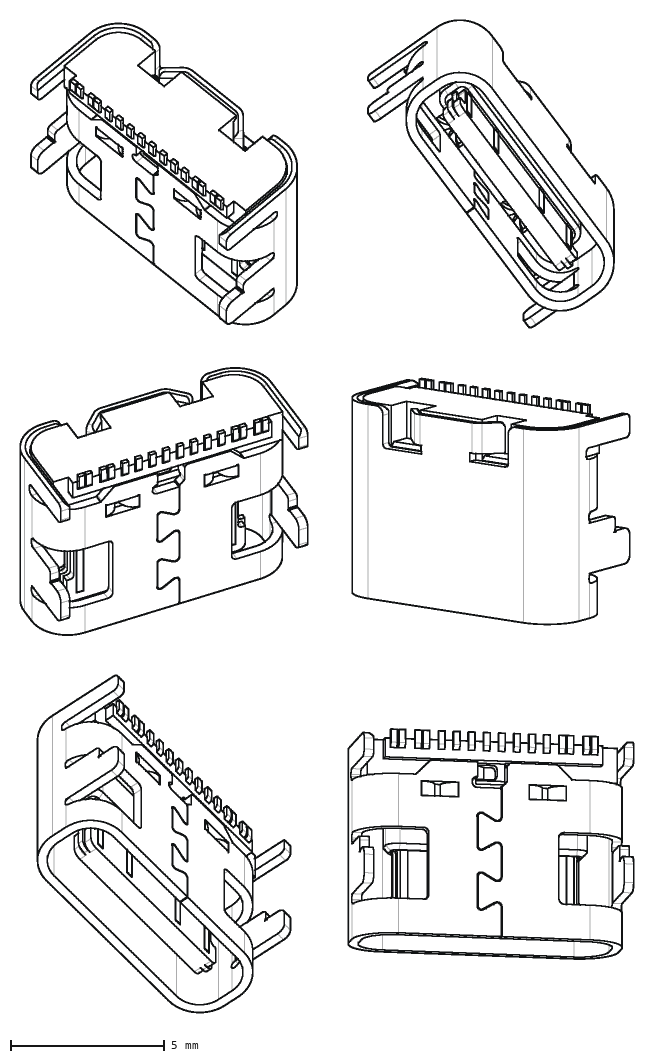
import cadquery as cq
import math

WIDTH = 8.94
DEPTH = 3.16
HEIGHT = 6.47
WALL = 0.32
CORNER_RADIUS = 1.3
RIM_CHAMFER = 0.15
TAB_REACH = 4.06
PIN_TOP = 6.75
OVERCUT = 0.45

HALF_WIDTH = WIDTH / 2
BACK = DEPTH / 2
FRONT = -DEPTH / 2
INNER_HALF_WIDTH = HALF_WIDTH - WALL
INNER_BACK = BACK - WALL
INNER_FRONT = FRONT + WALL
TAB_TIP = BACK - TAB_REACH

SHOULDER = 5.3
SLOT_END = BACK - 1.84
UPPER_SLOT_END = BACK - 1.69
SLOT_RUN_OUT = BACK - 2.01
SLOT_INNER_REACH = 0.09
SLOT_RADIUS = 0.16
UPPER_TAB_BOTTOM = 5.69
UPPER_TAB_RADIUS = 0.21
LOWER_TAB_BOTTOM = 1.49
LOWER_TAB_TOP = 3.17
LOWER_TAB_STEP = 2.68
LOWER_TAB_RADIUS = 0.29
STEP_FRONT = BACK - 3.27
STEP_RADIUS = 0.14
STEP_RELIEF = 0.045
WINDOW_BOTTOM = 1.15
WINDOW_TOP = 3.54
WINDOW_INNER_X = 2.155
WINDOW_RADIUS = 0.18

PLATE_TOP = 5.78
PLATE_TOP_HALF_WIDTH = 2.11
PLATE_FOOT_HALF_WIDTH = 2.59
PLATE_CORNER_RADIUS = 0.13
SEAM_RIGHT = 0.24
SEAM_LEFT = -0.55
SEAM_GAP = 0.03
SEAM_RADIUS = 0.13
KEY_PITCH = 1.99
KEY_COUNT = 2
KEY_TOP = 4.21
KEY_LENGTH = 1.46
KEY_FLARE = 0.46
NOTCH_LEFT = -0.54
NOTCH_RIGHT = 0.45
NOTCH_BOTTOM = 4.935
NOTCH_HOOK_LEFT = -0.715
NOTCH_HOOK_RADIUS = 0.17
NOTCH_SLANT_TOP = 5.17
NOTCH_SLANT_BOTTOM = 4.98
NOTCH_SLANT_RADIUS = 0.11
NOTCH_LIP = 0.09

LATCH_INNER_X = 1.17
LATCH_OUTER_X = 2.4
LATCH_BOTTOM = 4.6
LATCH_TOP = 5.09
LATCH_DEPTH = 0.5
LATCH_END_DEPTH = 0.04
LATCH_FLAT = 0.18

FLAP_HALF_WIDTH = 1.25
FLAP_GAP_OUTER_X = 2.56
FLAP_GAP_FLOOR = 5.1
FLAP_GAP_TOP_RADIUS = 0.28
FLAP_GAP_FLOOR_RADIUS = 0.14
FLAP_TOP = 6.4
FLAP_BEND_RADIUS = 0.13
WING_LENGTH = 0.96
WING_ANGLE = 45.0
WING_BOTTOM = 5.38
WING_RADIUS = 0.18

HOUSING_BOTTOM = LATCH_BOTTOM
HOUSING_BACK_RADIUS = 1.07
SHELF_HALF_WIDTH = 3.6
SHELF_BOTTOM = 5.84
POCKET_OUTER_X = 2.45
POCKET_FRONT = BACK - 1.135
POCKET_FLOOR = 5.25
POCKET_CHAMFER = 0.13
RECESS_BOTTOM = 5.11
RECESS_DEPTH = 0.14
CAVITY_RAMP_END = -0.18
CAVITY_RIGHT = 0.19
CAVITY_TOP = 5.775
CAVITY_DEPTH = 0.36
CAVITY_RADIUS = 0.13

TONGUE_HALF_WIDTH = 3.34
TONGUE_HALF_THICKNESS = 0.35
TONGUE_TIP = 0.36
TONGUE_TIP_RADIUS = 0.27
BASE_HALF_THICKNESS = 0.61
BASE_RADIUS = 0.4
BASE_BOTTOM = 3.0
BASE_CHAMFER = 0.18
LATCH_NOTCH_X = 3.08
LATCH_NOTCH_BOTTOM = 1.42
LATCH_NOTCH_RADIUS = 0.13
PLATE_HALF_THICKNESS = 0.09
PLATE_REVEAL = 0.11

CONTACT_PITCH = 0.5
CONTACT_PITCHES = (2.5, 5.5)
CONTACT_WIDTH = 0.25
CONTACT_BOTTOM = 0.68
CONTACT_PROUD = 0.02
PIN_WIDTH = 0.215
PIN_THICKNESS = 0.13
PIN_ROOT_DEPTH = 0.27
PIN_BEND_RADIUS = 0.17
PIN_BOTTOM = 6.15
PIN_FRONT = BACK - 3.27
PIN_OFFSETS = (0.25, 0.75, 1.25, 1.74, 2.25, 2.52, 3.06, 3.33)


def box(x_range, y_range, z_range):
    """Box spanning the given ranges, each a pair in either order."""
    spans = [sorted(pair) for pair in (x_range, y_range, z_range)]
    size = [high - low for low, high in spans]
    corner = tuple(low for low, high in spans)
    return cq.Workplane("XY").box(*size, centered=False).translate(corner)


def rounded_outline(plane, corners):
    """Closed outline on a plane from (u, v, radius) corners, rounded where the radius is not zero."""
    path = None
    for index, (u, v, radius) in enumerate(corners):
        corner = cq.Vector(u, v)
        before = (cq.Vector(*corners[index - 1][:2]) - corner).normalized()
        after = (cq.Vector(*corners[(index + 1) % len(corners)][:2]) - corner).normalized()
        half_angle = before.getAngle(after) / 2
        trim = radius / math.tan(half_angle)
        start = corner + before * trim
        path = path.lineTo(start.x, start.y) if path else cq.Workplane(plane).moveTo(start.x, start.y)
        if radius:
            bulge = radius / math.sin(half_angle) - radius
            middle = corner + (before + after).normalized() * bulge
            end = corner + after * trim
            path = path.threePointArc((middle.x, middle.y), (end.x, end.y))
    return path.close()


def both_sides(right_half):
    """The given +X feature together with its mirror image."""
    return right_half.union(right_half.mirror("YZ"))


def front_outline(corners):
    """Outline of (x, z, radius) corners on the inside of the front wall, facing outward."""
    return rounded_outline(cq.Plane((0, INNER_FRONT, 0), (1, 0, 0), (0, -1, 0)), corners)


def front_cutter(corners):
    """Tool through the front wall with an (x, z, radius) outline."""
    return front_outline(corners).extrude(WALL + OVERCUT)


def side_plate(corners, inner_x=INNER_HALF_WIDTH, thickness=WALL):
    """Flat plate normal to X with a (y, z, radius) outline."""
    return rounded_outline("YZ", corners).extrude(thickness).translate((inner_x, 0, 0))


def shell_tube():
    """Straight tube of sheet metal with rounded corners."""
    outer = cq.Workplane("XY").rect(WIDTH, DEPTH).extrude(HEIGHT).edges("|Z").fillet(CORNER_RADIUS)
    inner = cq.Workplane("XY").rect(2 * INNER_HALF_WIDTH, DEPTH - 2 * WALL).extrude(HEIGHT)
    return outer.cut(inner.edges("|Z").fillet(CORNER_RADIUS - WALL))


def side_slot(bottom, top, end):
    """Round-ended slot in the side wall, open toward the front."""
    outside = SLOT_RUN_OUT - SLOT_RADIUS
    corners = [(outside, bottom, 0), (outside, top, 0), (end, top, SLOT_RADIUS), (end, bottom, SLOT_RADIUS)]
    return side_plate(corners, INNER_HALF_WIDTH - SLOT_INNER_REACH, WALL + OVERCUT)


def corner_clearances():
    """Metal removed from the front corners: windows, slots beside the tabs and the open top."""
    beyond_x = HALF_WIDTH + OVERCUT
    beyond_y = FRONT - OVERCUT
    window = box((WINDOW_INNER_X, beyond_x), (beyond_y, SLOT_RUN_OUT), (WINDOW_BOTTOM, WINDOW_TOP))
    window = window.edges("|Y and <X").fillet(WINDOW_RADIUS)
    open_top = box((PLATE_FOOT_HALF_WIDTH, beyond_x), (beyond_y, SLOT_RUN_OUT), (SHOULDER, HEIGHT))
    slots = side_slot(SHOULDER, UPPER_TAB_BOTTOM, UPPER_SLOT_END)
    slots = slots.union(side_slot(LOWER_TAB_TOP, WINDOW_TOP, SLOT_END))
    slots = slots.union(side_slot(WINDOW_BOTTOM, LOWER_TAB_BOTTOM, SLOT_END))
    return both_sides(window.union(open_top).union(slots))


def plate_top_cutter():
    """Everything above the sloped upper edge of the front plate."""
    foot, top = PLATE_FOOT_HALF_WIDTH, PLATE_TOP_HALF_WIDTH
    above = HEIGHT + OVERCUT
    radius = PLATE_CORNER_RADIUS
    return front_cutter([
        (-foot - OVERCUT, SHOULDER, 0), (-foot, SHOULDER, radius), (-top, PLATE_TOP, radius),
        (top, PLATE_TOP, radius), (foot, SHOULDER, radius), (foot + OVERCUT, SHOULDER, 0),
        (foot + OVERCUT, above, 0), (-foot - OVERCUT, above, 0),
    ])


def notch_cutter():
    """Hooked notch at the upper end of the seam."""
    hook_top = SHOULDER
    above = PLATE_TOP + OVERCUT
    return front_cutter([
        (NOTCH_LEFT, above, 0), (NOTCH_LEFT, hook_top, 0),
        (NOTCH_HOOK_LEFT, hook_top, NOTCH_HOOK_RADIUS), (NOTCH_HOOK_LEFT, NOTCH_BOTTOM, NOTCH_HOOK_RADIUS),
        (SEAM_RIGHT, NOTCH_BOTTOM, 0), (SEAM_RIGHT, NOTCH_SLANT_BOTTOM, 0),
        (NOTCH_RIGHT, NOTCH_SLANT_TOP, NOTCH_SLANT_RADIUS), (NOTCH_RIGHT, PLATE_TOP - NOTCH_LIP, 0),
        (NOTCH_RIGHT + NOTCH_LIP, PLATE_TOP, 0), (NOTCH_RIGHT + NOTCH_LIP, above, 0),
    ])


def seam_cutter():
    """Hairline seam where the rolled shell meets itself, with dovetail keys."""
    path = [(SEAM_RIGHT, PLATE_TOP, 0)]
    for key in range(KEY_COUNT):
        top = KEY_TOP - key * KEY_PITCH
        bottom = top - KEY_LENGTH
        path += [
            (SEAM_RIGHT, top - KEY_FLARE, SEAM_RADIUS), (SEAM_LEFT, top, SEAM_RADIUS),
            (SEAM_LEFT, bottom, SEAM_RADIUS), (SEAM_RIGHT, bottom + KEY_FLARE, SEAM_RADIUS),
        ]
    path.append((SEAM_RIGHT, -OVERCUT, 0))
    far_left = SEAM_LEFT - OVERCUT
    left_side = path + [(far_left, -OVERCUT, 0), (far_left, PLATE_TOP, 0)]
    border = front_outline(left_side).offset2D(SEAM_GAP).extrude(WALL + OVERCUT).cut(front_cutter(left_side))
    along_path = box(
        (SEAM_LEFT - SEAM_GAP, SEAM_RIGHT + SEAM_GAP), (INNER_FRONT, FRONT), (0, NOTCH_BOTTOM + SEAM_GAP),
    )
    return border.intersect(along_path)


def board_tabs():
    """Flat tabs continuing the side walls straight forward past the shell front."""
    root = 0.0
    relief_bottom = LOWER_TAB_STEP - STEP_RELIEF
    upper = side_plate([
        (root, UPPER_TAB_BOTTOM, 0), (TAB_TIP, UPPER_TAB_BOTTOM, UPPER_TAB_RADIUS),
        (TAB_TIP, HEIGHT, UPPER_TAB_RADIUS), (root, HEIGHT, 0),
    ])
    lower = side_plate([
        (root, LOWER_TAB_BOTTOM, 0), (TAB_TIP, LOWER_TAB_BOTTOM, LOWER_TAB_RADIUS),
        (TAB_TIP, LOWER_TAB_STEP, LOWER_TAB_RADIUS), (STEP_FRONT - STEP_RELIEF, LOWER_TAB_STEP, 0),
        (STEP_FRONT - STEP_RELIEF, relief_bottom, 0), (STEP_FRONT + STEP_RELIEF, relief_bottom, 0),
        (STEP_FRONT, LOWER_TAB_STEP + STEP_RELIEF, 0),
        (STEP_FRONT, LOWER_TAB_TOP, STEP_RADIUS), (root, LOWER_TAB_TOP, 0),
    ])
    return both_sides(upper.union(lower))


def rim_chamfer_cutter():
    """Widening mouth that bevels the inner top edge of the back, sides and upper tabs."""
    length = INNER_BACK - TAB_TIP + OVERCUT
    mouth = cq.Workplane("XY", origin=(0, INNER_BACK - length / 2, HEIGHT - RIM_CHAMFER))
    mouth = mouth.rect(2 * INNER_HALF_WIDTH, length).extrude(RIM_CHAMFER)
    mouth = mouth.edges("|Z and >Y").fillet(CORNER_RADIUS - WALL)
    return mouth.faces("<Z").wires().toPending().workplane(invert=True).extrude(RIM_CHAMFER, taper=-45)


def flap_gap():
    """Opening in the back wall around the upper part of the flap, rounded into the rim and the floor."""
    plane = cq.Plane((0, BACK + OVERCUT, 0), (1, 0, 0), (0, -1, 0))
    outer, rim_radius, floor_radius = FLAP_GAP_OUTER_X, FLAP_GAP_TOP_RADIUS, FLAP_GAP_FLOOR_RADIUS
    rim_end = outer + 2 * rim_radius
    outline = rounded_outline(plane, [
        (0, FLAP_GAP_FLOOR, 0), (outer, FLAP_GAP_FLOOR, floor_radius), (outer, HEIGHT, rim_radius),
        (rim_end, HEIGHT, 0), (rim_end, HEIGHT + OVERCUT, 0), (0, HEIGHT + OVERCUT, 0),
    ])
    return both_sides(outline.extrude(WALL + OVERCUT))


def back_flap():
    """Tongue of the back wall with both ends bent inward and its inner top edge bevelled."""
    angle = math.radians(WING_ANGLE)
    run, fall = math.cos(angle), math.sin(angle)
    inner_bend_x = FLAP_HALF_WIDTH - WALL * math.tan(angle / 2)
    outer_end = (FLAP_HALF_WIDTH + WING_LENGTH * run, BACK - WING_LENGTH * fall)
    inner_end = (outer_end[0] - WALL * fall, outer_end[1] - WALL * run)
    plate = rounded_outline("XY", [
        (0, BACK, 0), (FLAP_HALF_WIDTH, BACK, FLAP_BEND_RADIUS + WALL), (*outer_end, 0),
        (*inner_end, 0), (inner_bend_x, INNER_BACK, FLAP_BEND_RADIUS), (0, INNER_BACK, 0),
    ])
    wings = plate.extrude(FLAP_TOP - WING_BOTTOM).translate((0, 0, WING_BOTTOM))
    wings = wings.faces(f">({run},{-fall},0)").edges(">Z").fillet(WING_RADIUS)

    mouth_reach = inner_end[0] + WALL
    mouth_low = INNER_BACK - (mouth_reach - inner_bend_x) * fall / run
    mouth = rounded_outline("XY", [
        (-inner_bend_x, INNER_BACK, FLAP_BEND_RADIUS), (inner_bend_x, INNER_BACK, FLAP_BEND_RADIUS),
        (mouth_reach, mouth_low, 0), (-mouth_reach, mouth_low, 0),
    ])
    bevel = mouth.extrude(RIM_CHAMFER, taper=-45).translate((0, 0, FLAP_TOP - RIM_CHAMFER))
    neck_half_width = inner_bend_x - FLAP_BEND_RADIUS
    neck = box((-neck_half_width, neck_half_width), (INNER_BACK, BACK), (FLAP_GAP_FLOOR, WING_BOTTOM))
    return both_sides(wings).union(neck).cut(bevel)


def latch_windows():
    """Space for the latch strips through the front wall and into the housing."""
    sides = (LATCH_INNER_X, LATCH_OUTER_X)
    return both_sides(box(sides, (FRONT, INNER_FRONT + LATCH_DEPTH), (LATCH_BOTTOM, LATCH_TOP)))


def latch_strips():
    """Strips of the front wall pressed inward, each side flaring away from a narrow flat."""
    middle = (LATCH_INNER_X + LATCH_OUTER_X) / 2
    run = (LATCH_OUTER_X - LATCH_INNER_X - LATCH_FLAT) / 2
    end_y = FRONT + LATCH_END_DEPTH
    drop = LATCH_DEPTH - LATCH_END_DEPTH
    flat_y = end_y + drop
    left, right = middle - LATCH_FLAT / 2, middle + LATCH_FLAT / 2
    radius = (run ** 2 + drop ** 2) / (2 * drop)
    strip = (
        cq.Workplane("XY", origin=(0, 0, LATCH_BOTTOM)).moveTo(LATCH_INNER_X, end_y)
        .radiusArc((left, flat_y), -radius).lineTo(right, flat_y)
        .radiusArc((LATCH_OUTER_X, end_y), -radius).lineTo(LATCH_OUTER_X, end_y + WALL)
        .radiusArc((right, flat_y + WALL), radius).lineTo(left, flat_y + WALL)
        .radiusArc((LATCH_INNER_X, end_y + WALL), radius).close()
        .extrude(LATCH_TOP - LATCH_BOTTOM)
    )
    return both_sides(strip)


def make_shell():
    shell = shell_tube().cut(corner_clearances()).cut(plate_top_cutter())
    shell = shell.cut(notch_cutter()).cut(seam_cutter()).cut(flap_gap()).cut(latch_windows())
    shell = shell.union(board_tabs()).cut(rim_chamfer_cutter())
    return shell.union(back_flap()).union(latch_strips())


def housing_block():
    """Block filling the rear of the shell, square in front above the shoulder, with a forward shelf."""
    depth = INNER_BACK - INNER_FRONT
    block = cq.Workplane("XY", origin=(0, 0, HOUSING_BOTTOM)).rect(2 * INNER_HALF_WIDTH, depth)
    block = block.extrude(HEIGHT - HOUSING_BOTTOM)
    block = block.edges("|Z and >Y").fillet(HOUSING_BACK_RADIUS)
    lower = box(
        (-INNER_HALF_WIDTH, INNER_HALF_WIDTH), (INNER_FRONT, INNER_BACK), (HOUSING_BOTTOM, SHOULDER),
    )
    rounded = lower.edges("|Z and <Y").fillet(CORNER_RADIUS - WALL)
    block = block.cut(lower.cut(rounded))
    shelf = box((-SHELF_HALF_WIDTH, SHELF_HALF_WIDTH), (FRONT, INNER_FRONT), (SHELF_BOTTOM, HEIGHT))
    return block.union(shelf)


def wing_pockets():
    """Pockets for the flap wings; the floor slopes down along its back edge."""
    pocket = box((FLAP_HALF_WIDTH, POCKET_OUTER_X), (POCKET_FRONT, INNER_BACK), (POCKET_FLOOR, HEIGHT))
    slope = cq.Workplane("YZ").polyline([
        (INNER_BACK, POCKET_FLOOR), (INNER_BACK - POCKET_CHAMFER, POCKET_FLOOR),
        (INNER_BACK, POCKET_FLOOR - POCKET_CHAMFER),
    ]).close().extrude(POCKET_OUTER_X - FLAP_HALF_WIDTH).translate((FLAP_HALF_WIDTH, 0, 0))
    return both_sides(pocket.union(slope))


def front_recess():
    """Recess behind the notch with a sloped sill and a deeper cavity ramped on its left."""
    recess_floor = INNER_FRONT + RECESS_DEPTH
    recess = cq.Workplane("YZ").polyline([
        (INNER_FRONT, RECESS_BOTTOM), (recess_floor, RECESS_BOTTOM + RECESS_DEPTH),
        (recess_floor, SHELF_BOTTOM), (INNER_FRONT, SHELF_BOTTOM),
    ]).close().extrude(NOTCH_RIGHT - NOTCH_LEFT).translate((NOTCH_LEFT, 0, 0))
    cavity = cq.Workplane("XY", origin=(0, 0, SHOULDER)).polyline([
        (NOTCH_LEFT, recess_floor), (CAVITY_RAMP_END, recess_floor + CAVITY_DEPTH),
        (CAVITY_RIGHT, recess_floor + CAVITY_DEPTH), (CAVITY_RIGHT, recess_floor),
    ]).close().extrude(CAVITY_TOP - SHOULDER).edges("|Y and >X").fillet(CAVITY_RADIUS)
    return recess.union(cavity)


def make_housing():
    return housing_block().cut(wing_pockets()).cut(front_recess()).cut(latch_windows())


def tongue_slab(inset, half_thickness):
    """Flat slab with a plug notch in each side; the inset moves the side outline inward."""
    side = TONGUE_HALF_WIDTH - inset
    notch = LATCH_NOTCH_X - inset
    notch_bottom = LATCH_NOTCH_BOTTOM - inset
    radius = LATCH_NOTCH_RADIUS
    right = [
        (side, TONGUE_TIP, TONGUE_TIP_RADIUS), (side, notch_bottom, 0), (notch, notch_bottom, radius),
        (notch, BASE_BOTTOM - PLATE_REVEAL, 0), (notch + radius, BASE_BOTTOM + OVERCUT, 0),
    ]
    left = [(-x, z, radius) for x, z, radius in reversed(right)]
    return rounded_outline("XZ", right + left).extrude(half_thickness, both=True)


def make_tongue():
    """Thick rounded base carrying the plastic tongue and its metal plate."""
    base = box(
        (-TONGUE_HALF_WIDTH, TONGUE_HALF_WIDTH), (-BASE_HALF_THICKNESS, BASE_HALF_THICKNESS),
        (BASE_BOTTOM, HOUSING_BOTTOM),
    )
    base = base.edges("|Z").fillet(BASE_RADIUS).faces("<Z").edges().chamfer(BASE_CHAMFER)
    plastic = tongue_slab(PLATE_REVEAL, TONGUE_HALF_THICKNESS)
    plate = tongue_slab(0, PLATE_HALF_THICKNESS)
    return base.union(plastic).union(plate)


def contact_strips():
    """Ground and power contacts standing slightly proud of both tongue faces."""
    reach = TONGUE_HALF_THICKNESS + CONTACT_PROUD
    strips = cq.Workplane("XY")
    for pitches in CONTACT_PITCHES:
        middle = pitches * CONTACT_PITCH
        sides = (middle - CONTACT_WIDTH / 2, middle + CONTACT_WIDTH / 2)
        strips = strips.union(box(sides, (-reach, reach), (CONTACT_BOTTOM, BASE_BOTTOM)))
    return both_sides(strips)


def solder_pins():
    """Row of pins up the housing front, each curving into the plastic at its lower end."""
    pins = cq.Workplane("XY")
    for offset in PIN_OFFSETS:
        sides = (offset - PIN_WIDTH / 2, offset + PIN_WIDTH / 2)
        tip = box(sides, (PIN_FRONT, PIN_FRONT + PIN_THICKNESS), (PIN_BOTTOM + PIN_BEND_RADIUS, PIN_TOP))
        root = box(sides, (PIN_FRONT, PIN_FRONT + PIN_ROOT_DEPTH), (PIN_BOTTOM, HEIGHT))
        pins = pins.union(root.edges("|X and <Y and <Z").fillet(PIN_BEND_RADIUS)).union(tip)
    return both_sides(pins)


result = make_shell().union(make_housing()).union(make_tongue()).union(contact_strips()).union(solder_pins())